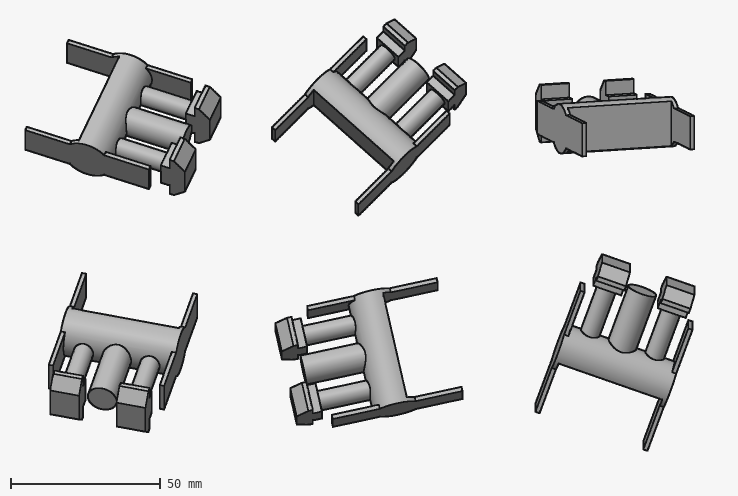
import cadquery as cq

overall_length = 56.25
overall_width = 40.0
plate_length = 44.6
plate_height = 11.35
plate_thickness = 1.5

body_radius = 8.4
body_flat_x = -3.5

center_rod_radius = 5.0
center_rod_end_x = 28.0
side_rod_radius = 3.4
side_rod_spacing = 23.0

hook_tip_x = overall_length - plate_length / 2
hook_length = 8.7
hook_neck_length = 3.15
hook_land_length = 1.6
hook_width = 10.0
hook_neck_height = 2 * center_rod_radius
hook_height = 19.6
hook_tip_height = 11.5

hook_start_x = hook_tip_x - hook_length
inner_width = overall_width - 2 * plate_thickness


def make_body():
    """Cross cylinder with its -X side cut flat."""
    cylinder = cq.Workplane("XZ").circle(body_radius).extrude(inner_width / 2, both=True)
    keep_length = body_radius - body_flat_x
    keep = cq.Workplane("XY").box(
        keep_length, inner_width, 2 * body_radius, centered=(False, True, True)
    ).translate((body_flat_x, 0, 0))
    return cylinder.intersect(keep)


def make_plate(side):
    """End plate with a round swelling around the cross cylinder."""
    center_y = side * (overall_width - plate_thickness) / 2
    bar = cq.Workplane("XY").box(plate_length, plate_thickness, plate_height)
    disc = cq.Workplane("XZ").circle(body_radius).extrude(plate_thickness / 2, both=True)
    return bar.union(disc).translate((0, center_y, 0))


def make_rod(radius, end_x, center_y):
    """Round rod along +X, starting on the cross cylinder axis."""
    return cq.Workplane("YZ").center(center_y, 0).circle(radius).extrude(end_x)


def make_hook(center_y):
    """T-shaped catch with a tapered tip."""
    land_start_x = hook_start_x + hook_neck_length
    land_end_x = land_start_x + hook_land_length
    upper_half = [
        (hook_start_x, hook_neck_height / 2),
        (land_start_x, hook_neck_height / 2),
        (land_start_x, hook_height / 2),
        (land_end_x, hook_height / 2),
        (hook_tip_x, hook_tip_height / 2),
    ]
    lower_half = [(x, -z) for x, z in reversed(upper_half)]
    profile = cq.Workplane("XZ").polyline(upper_half + lower_half).close()
    return profile.extrude(hook_width / 2, both=True).translate((0, center_y, 0))


result = make_body().union(make_rod(center_rod_radius, center_rod_end_x, 0))
for side in (-1, 1):
    rod_y = side * side_rod_spacing / 2
    result = result.union(make_plate(side))
    result = result.union(make_rod(side_rod_radius, hook_start_x, rod_y))
    result = result.union(make_hook(rod_y))